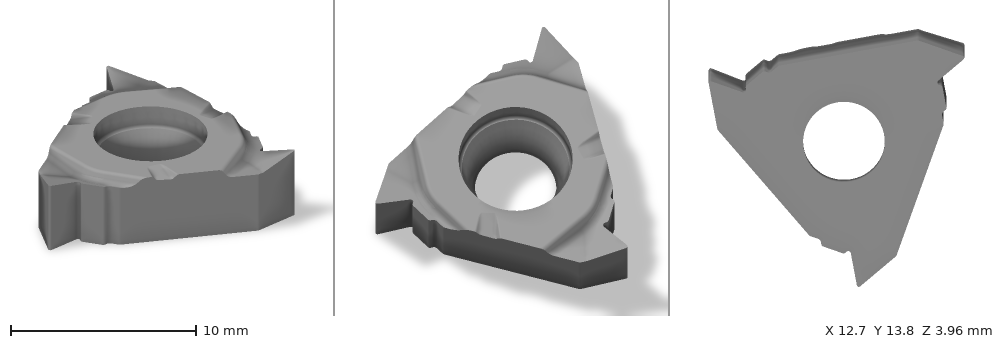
import cadquery as cq
import math

CORNER_ANGLES = (0, 120, 240)
thickness = 3.96
side_distance = 4.75

leading_flank_distance = 6.59
trailing_flank_distance = 0.75
nib_distance = 5.77
nib_leading_distance = 4.67
nib_trailing_distance = 2.22
shelf_distance = 5.47
side_corner_radius = 0.26
tip_radius = 0.11
root_radius = 0.14
nib_radius = 0.15
shelf_root_radius = 0.23

rake_angle = 15
side_facet_depth = 0.51
side_facet_angle = 5

island_front_distance = 4.8
island_side_distance = 4.99
island_side_direction = 238
island_corner_radius = 2.35
island_wall_angle = 58
island_top_radius = 0.28
island_foot_radius = 0.37

notch_floor_width = 0.66
notch_end = (-3.48, 0.55)
notch_turn = 14
notch_floor_angle = 10.7
notch_wall_angle = 45
notch_root_radius = 0.25
notch_rim_radius = 0.14

bore_diameter = 4.4
seat_radius = 4.28
seat_top_radius = 2.9
recess_top_radius = 3.08
recess_depth = 1.24
recess_root_radius = 0.17

TOOTH_BLOCK_X = (-6.21, 4.14)
TOOTH_BLOCK_Y = (-8.29, -1.66)
NOTCH_BLOCK_X = (-5.52, -2.07)
NOTCH_BLOCK_Y = (-2.07, 2.76)
BLOCK_DEPTH = 1.38
OVERSIZE = 8.29
TOLERANCE = 0.001


def meet(line_a, line_b):
    """Crossing point of two lines, each given as (normal direction, distance from the axis)."""
    (angle_a, distance_a), (angle_b, distance_b) = line_a, line_b
    ax, ay = math.cos(math.radians(angle_a)), math.sin(math.radians(angle_a))
    bx, by = math.cos(math.radians(angle_b)), math.sin(math.radians(angle_b))
    det = ax * by - ay * bx
    return (distance_a * by - distance_b * ay) / det, (distance_b * ax - distance_a * bx) / det


def turned(point, angle):
    """Point turned about the hole axis."""
    c, s = math.cos(math.radians(angle)), math.sin(math.radians(angle))
    return point[0] * c - point[1] * s, point[0] * s + point[1] * c


def make_body():
    """Full-height prism with three teeth and rounded upright edges."""
    side = (180, side_distance)
    leading_flank = (210, leading_flank_distance)
    trailing_flank = (330, trailing_flank_distance)
    nib_leading = (210, nib_leading_distance)
    nib = (270, nib_distance)
    nib_trailing = (330, nib_trailing_distance)
    shelf = (270, shelf_distance)
    next_side = (300, side_distance)
    vertices = [
        (meet(side, leading_flank), side_corner_radius),
        (meet(leading_flank, trailing_flank), tip_radius),
        (meet(trailing_flank, nib_leading), root_radius),
        (meet(nib_leading, nib), nib_radius),
        (meet(nib, nib_trailing), nib_radius),
        (meet(nib_trailing, shelf), shelf_root_radius),
        (meet(shelf, next_side), side_corner_radius),
    ]
    outline = [turned(point, angle) for angle in CORNER_ANGLES for point, _ in vertices]
    body = cq.Workplane("XY").polyline(outline).close().extrude(thickness)
    for point, radius in vertices:
        for angle in CORNER_ANGLES:
            x, y = turned(point, angle)
            edge = cq.selectors.NearestToPointSelector((x, y, thickness / 2))
            body = body.edges("|Z").edges(edge).fillet(radius)
    return body


def make_island():
    """Land with sloping walls that bounds the relief around the tooth pointing to -Y."""
    front = (270, island_front_distance)
    side = (island_side_direction, island_side_distance)
    corner = meet(front, side)
    side_end = turned((OVERSIZE, 0), island_side_direction - 90)
    side_end = (corner[0] + side_end[0], corner[1] + side_end[1])
    points = [corner, (OVERSIZE, corner[1]), (OVERSIZE, OVERSIZE),
              (side_end[0], OVERSIZE), side_end]
    sketch = cq.Sketch().polygon(points + points[:1])
    sketch = sketch.vertices(cq.selectors.NearestToPointSelector((*corner, 0))).fillet(island_corner_radius)
    return (cq.Workplane("XY", origin=(0, 0, thickness)).placeSketch(sketch)
            .extrude(-BLOCK_DEPTH, taper=-(90 - island_wall_angle)))


def make_facets():
    """Solid under the two rake facets: one drops from the tip, the other from the side face."""
    tip_y = tip_radius - leading_flank_distance - trailing_flank_distance
    run = 2 * OVERSIZE
    rake_drop = run * math.tan(math.radians(rake_angle))
    side_drop = run * math.tan(math.radians(side_facet_angle))
    floor = -2 * OVERSIZE
    rake = (cq.Workplane("YZ", origin=(-OVERSIZE, 0, thickness))
            .polyline([(tip_y, 0), (tip_y + run, -rake_drop), (tip_y + run, floor),
                       (tip_y - OVERSIZE, floor), (tip_y - OVERSIZE, rake_drop / 2)]).close()
            .extrude(run))
    side = (cq.Workplane("XZ", origin=(-side_distance, OVERSIZE, thickness - side_facet_depth))
            .polyline([(0, 0), (run, -side_drop), (run, floor),
                       (-OVERSIZE, floor), (-OVERSIZE, side_drop / 2)]).close()
            .extrude(run))
    return rake.union(side)


def make_block(x_range, y_range):
    """Block whose top is level with the top of the insert."""
    block = cq.Workplane("XY").box(
        x_range[1] - x_range[0], y_range[1] - y_range[0], BLOCK_DEPTH, centered=False)
    return block.translate((x_range[0], y_range[0], thickness - BLOCK_DEPTH))


def inner_edges(land):
    """Edges that do not lie on the outer side faces of a block-shaped land."""
    box = land.val().BoundingBox()

    def is_inner(edge):
        x, y, _ = edge.positionAt(0.5).toTuple()
        return (box.xmin + TOLERANCE < x < box.xmax - TOLERANCE
                and box.ymin + TOLERANCE < y < box.ymax - TOLERANCE)

    return [edge for edge in land.edges().vals() if is_inner(edge)]


def is_on_top(edge):
    return edge.BoundingBox().zmin > thickness - TOLERANCE


def is_below_top(edge):
    return edge.BoundingBox().zmax < thickness - TOLERANCE


def make_tooth_relief():
    """Material removed around the tooth of the corner that points to -Y."""
    block = make_block(TOOTH_BLOCK_X, TOOTH_BLOCK_Y)
    land = make_facets().union(make_island()).intersect(block)
    edges = inner_edges(land)
    foot_edges = [edge for edge in edges if is_below_top(edge)]
    rim_edges = [edge for edge in edges if is_on_top(edge) and edge.Center().y > -nib_distance]
    land = land.newObject(foot_edges).fillet(island_foot_radius)
    land = land.newObject(rim_edges).fillet(island_top_radius)
    return block.cut(land)


def make_notch():
    """Ramp that starts on the island and gets deeper toward the side face facing -X."""
    root_x = notch_floor_width / 2
    bend = math.radians(notch_wall_angle)
    arc_end = (root_x + notch_root_radius * math.sin(bend), notch_root_radius * (1 - math.cos(bend)))
    arc_middle = (root_x + notch_root_radius * math.sin(bend / 2),
                  notch_root_radius * (1 - math.cos(bend / 2)))
    wall_top = (arc_end[0] + BLOCK_DEPTH / math.tan(bend), arc_end[1] + BLOCK_DEPTH)

    def mirrored(point):
        return -point[0], point[1]

    slope = math.radians(notch_floor_angle)
    turn = math.radians(notch_turn)
    outward = (-math.cos(turn) * math.cos(slope), math.sin(-turn) * math.cos(slope), -math.sin(slope))
    across = (math.sin(turn), -math.cos(turn), 0)
    plane = cq.Plane(origin=(*notch_end, thickness), xDir=across, normal=outward)
    profile = (cq.Workplane(plane)
               .moveTo(-root_x, 0).lineTo(root_x, 0)
               .threePointArc(arc_middle, arc_end).lineTo(*wall_top)
               .lineTo(*mirrored(wall_top)).lineTo(*mirrored(arc_end))
               .threePointArc(mirrored(arc_middle), (-root_x, 0)).close())
    ramp = profile.extrude(OVERSIZE / 2)
    block = make_block(NOTCH_BLOCK_X, NOTCH_BLOCK_Y)
    land = block.cut(ramp)
    rim_edges = [edge for edge in inner_edges(land) if is_on_top(edge)]
    land = land.newObject(rim_edges).fillet(notch_rim_radius)
    return block.cut(land)


def make_screw_hole():
    """Recess, rounded seat and bore as one turned shape."""
    bore_radius = bore_diameter / 2
    recess_floor = thickness - recess_depth
    seat_angle = math.acos(1 - (seat_top_radius - bore_radius) / seat_radius)
    seat_bottom = recess_floor - seat_radius * math.sin(seat_angle)
    seat_middle = (bore_radius + seat_radius * (1 - math.cos(seat_angle / 2)),
                   seat_bottom + seat_radius * math.sin(seat_angle / 2))
    root_end = (seat_top_radius + recess_root_radius, recess_floor + recess_root_radius)
    return (cq.Workplane("XZ")
            .moveTo(0, 0).lineTo(bore_radius, 0).lineTo(bore_radius, seat_bottom)
            .threePointArc(seat_middle, (seat_top_radius, recess_floor))
            .radiusArc(root_end, -recess_root_radius)
            .lineTo(recess_top_radius, thickness).lineTo(0, thickness).close()
            .revolve(360, (0, 0, 0), (0, 1, 0)))


result = make_body().cut(make_screw_hole())
tooth_relief = make_tooth_relief()
notch = make_notch()
for angle in CORNER_ANGLES:
    result = result.cut(tooth_relief.rotate((0, 0, 0), (0, 0, 1), angle))
    result = result.cut(notch.rotate((0, 0, 0), (0, 0, 1), angle))